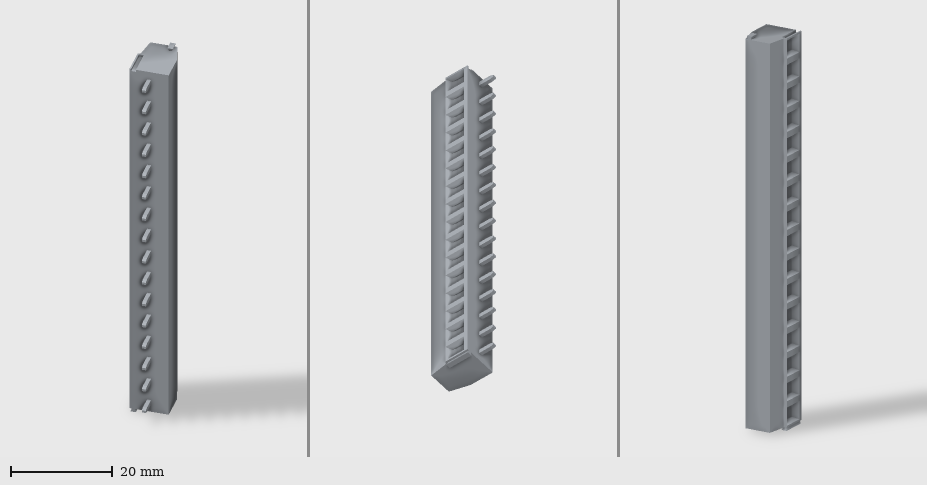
import cadquery as cq

pole_count = 16
total_height = 82.3
key_height = 0.7
body_height = total_height - 2 * key_height
end_trim = 0.25
pitch = (body_height + 2 * end_trim) / pole_count
bottom_z = -body_height / 2
top_z = body_height / 2

body_width = 8.1
body_depth = 10.0
flank_start_y = 5.5
step_y = 5.85
step_width = 0.6
back_inset = 1.2

opening_y_min = 0.8
opening_y_max = 5.5
opening_height = 3.8
mouth_y_min = 1.7
mouth_y_max = 4.6
mouth_height = 2.6
funnel_depth = 1.0
mouth_depth = 0.25
ramp_width = 1.0

pin_length = 3.6
pin_width = 0.8
pin_height = 1.0
pin_tip_length = 0.8
pin_tip_inset = 0.25

dovetail_wide = 1.15
dovetail_narrow = 0.6
front_key_x = 0.7
front_key_length = 5.4
back_key_x = 5.9
back_key_length = 2.05

groove_x = 0.8
groove_width = 1.0
groove_length = 5.35
groove_depth = 0.5


def make_body():
    outline = [
        (0, 0),
        (body_width, 0),
        (body_width, flank_start_y),
        (body_width - back_inset, body_depth),
        (back_inset, body_depth),
        (step_width, step_y),
        (0, flank_start_y),
    ]
    return cq.Workplane("XY").workplane(offset=bottom_z).polyline(outline).close().extrude(body_height)


def make_dovetail(center_x, narrow_z, wide_z, y_outer, y_inner):
    """Dovetail block flush with a body face at y_outer, its other three sides flaring toward wide_z."""
    flare = (dovetail_wide - dovetail_narrow) / 2
    length = abs(y_inner - y_outer)
    inward = (y_inner - y_outer) / length
    narrow_length = length - flare
    narrow_center_y = y_outer + inward * narrow_length / 2
    return (
        cq.Workplane("XY", origin=(center_x, narrow_center_y, narrow_z))
        .rect(dovetail_narrow, narrow_length)
        .workplane(offset=wide_z - narrow_z)
        .center(0, inward * flare / 2)
        .rect(dovetail_wide, length)
        .loft(ruled=True)
    )


def make_groove():
    """Straight slot in the top end, open toward the pin side."""
    return (
        cq.Workplane("XY")
        .box(groove_width, groove_length, groove_depth, centered=(True, False, False))
        .translate((groove_x, 0, top_z - groove_depth))
    )


def make_opening(z):
    """Tapered wire funnel from the X = 0 face, ending in a small mouth whose floor is partly sloped."""
    outer_y = (opening_y_min + opening_y_max) / 2
    inner_y = (mouth_y_min + mouth_y_max) / 2
    funnel = (
        cq.Workplane("YZ", origin=(0, 0, z))
        .center(outer_y, 0)
        .rect(opening_y_max - opening_y_min, opening_height)
        .workplane(offset=funnel_depth)
        .center(inner_y - outer_y, 0)
        .rect(mouth_y_max - mouth_y_min, mouth_height)
        .loft(ruled=True)
    )
    floor_x = funnel_depth + mouth_depth
    mouth_outline = [
        (funnel_depth, mouth_y_min),
        (floor_x, mouth_y_min),
        (floor_x, mouth_y_max - ramp_width),
        (funnel_depth, mouth_y_max),
    ]
    mouth = (
        cq.Workplane("XY", origin=(0, 0, z - mouth_height / 2))
        .polyline(mouth_outline)
        .close()
        .extrude(mouth_height)
    )
    return funnel.union(mouth)


def make_pin(z):
    """Flat pin pointing to -Y, narrowed in Z at its tip."""
    half = pin_height / 2
    tip_half = half - pin_tip_inset
    taper_y = -pin_length + pin_tip_length
    outline = [
        (0, -half),
        (taper_y, -half),
        (-pin_length, -tip_half),
        (-pin_length, tip_half),
        (taper_y, half),
        (0, half),
    ]
    pin_x = (body_width - pin_width) / 2
    return cq.Workplane("YZ", origin=(pin_x, 0, z)).polyline(outline).close().extrude(pin_width)


result = make_body()

result = result.cut(make_groove())
result = result.union(make_dovetail(front_key_x, bottom_z, bottom_z - key_height, 0, front_key_length))
back_key_inner_y = body_depth - back_key_length
result = result.union(make_dovetail(back_key_x, top_z, top_z + key_height, body_depth, back_key_inner_y))

for pole in range(pole_count):
    pole_z = bottom_z - end_trim + (pole + 0.5) * pitch
    result = result.cut(make_opening(pole_z)).union(make_pin(pole_z))